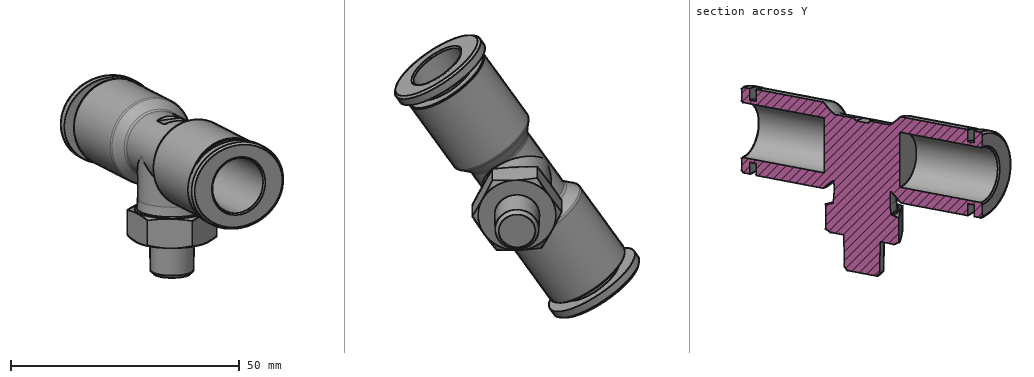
import cadquery as cq
import math

half_length = 32.2
overall_height = 37.35
core_radius = 7.55
body_radius = 9.85
body_inner_end = 10.3
core_end = 7.55
body_outer_end = 28.3
body_edge_chamfer = 0.2
shoulder_fillet = 0.8
waist_fillet = 1.1

sleeve_neck_radius = 7.15
flange_thickness = 2.3
flange_width_y = 22.5
flange_height_z = 19.55
flange_chamfer = 0.5
tube_bore_radius = 6.2
tube_bore_depth = 22.0
bore_chamfer = 0.35

branch_radius = core_radius
collar_radius = 7.75
collar_top = -10.45
collar_bottom = -12.65
collar_flare_radius = 8.15
hex_top = -12.9
hex_bottom = -19.55
hex_across_flats = 17.0
hex_top_edge_radius = 8.4
hex_top_drop = 0.4
hex_bottom_drop = 0.6
stud_bottom = body_radius - overall_height
stud_top_radius = 4.93
stud_tip_radius = 4.78
stud_chamfer = 0.8

label_floor_z = 7.0
label_half_length = 1.6
label_wall_slope = 1.0

hex_height = hex_top - hex_bottom


def flare_edges(x_distance):
    """Selector for the edges of the circles at +/- x_distance along the run."""
    tolerance = 0.01
    reach = 2 * body_radius
    left, right = [
        cq.selectors.BoxSelector(
            (x - tolerance, -reach, -reach),
            (x + tolerance, reach, reach),
        )
        for x in (-x_distance, x_distance)
    ]
    return left + right


def make_run_body():
    """Waisted cylinder with flared shoulders, revolved about X."""
    profile = [
        (-body_outer_end, 0),
        (-body_outer_end, body_radius),
        (-body_inner_end, body_radius),
        (-core_end, core_radius),
        (core_end, core_radius),
        (body_inner_end, body_radius),
        (body_outer_end, body_radius),
        (body_outer_end, 0),
    ]
    body = cq.Workplane("XY").polyline(profile).close().revolve(360, (0, 0, 0), (1, 0, 0))
    body = body.faces("<X or >X").edges().chamfer(body_edge_chamfer)
    body = body.edges(flare_edges(core_end)).fillet(waist_fillet)
    return body.edges(flare_edges(body_inner_end)).fillet(shoulder_fillet)


def make_release_sleeve():
    """Round neck and oval flange at the -X end."""
    neck = (
        cq.Workplane("YZ", origin=(-half_length, 0, 0))
        .circle(sleeve_neck_radius)
        .extrude(half_length - body_outer_end + body_edge_chamfer)
    )
    flange = (
        cq.Workplane("YZ", origin=(-half_length, 0, 0))
        .ellipse(flange_width_y / 2, flange_height_z / 2)
        .extrude(flange_thickness)
        .faces("<X")
        .edges()
        .chamfer(flange_chamfer)
    )
    return flange.union(neck)


def make_tube_bore():
    """Blind bore with a chamfered mouth, entering from the -X end."""
    profile = [
        (-half_length, 0),
        (-half_length, tube_bore_radius + bore_chamfer),
        (-half_length + bore_chamfer, tube_bore_radius),
        (-half_length + tube_bore_depth, tube_bore_radius),
        (-half_length + tube_bore_depth, 0),
    ]
    return cq.Workplane("XY").polyline(profile).close().revolve(360, (0, 0, 0), (1, 0, 0))


def make_branch():
    """Branch barrel, collar flared onto the hexagon and tapered stud, revolved about Z."""
    profile = [
        (0, 0),
        (branch_radius, 0),
        (branch_radius, collar_top),
        (collar_radius, collar_bottom),
        (collar_flare_radius, hex_top),
        (stud_top_radius, hex_top),
        (stud_top_radius, hex_bottom),
        (stud_tip_radius, stud_bottom + stud_chamfer),
        (stud_tip_radius - stud_chamfer, stud_bottom),
        (0, stud_bottom),
    ]
    return cq.Workplane("XZ").polyline(profile).close().revolve(360, (0, 0, 0), (0, 1, 0))


def make_hex():
    """Hexagon with corners on the X axis and conical chamfers on both faces."""
    corner_radius = hex_across_flats / 2 / math.cos(math.pi / 6)
    face_radius = hex_across_flats / 2
    prism = (
        cq.Workplane("XY", origin=(0, 0, hex_bottom))
        .polygon(6, 2 * corner_radius)
        .extrude(hex_height)
    )
    envelope = [
        (0, hex_bottom),
        (face_radius, hex_bottom),
        (corner_radius, hex_bottom + hex_bottom_drop),
        (corner_radius, hex_top - hex_top_drop),
        (hex_top_edge_radius, hex_top),
        (0, hex_top),
    ]
    cones = cq.Workplane("XZ").polyline(envelope).close().revolve(360, (0, 0, 0), (0, 1, 0))
    return prism.intersect(cones)


def make_label_cut():
    """Trapezoidal cutter leaving a flat with sloped ends on top of the core."""
    rise = body_radius - label_floor_z
    top_half_length = label_half_length + rise * label_wall_slope
    profile = [
        (-label_half_length, label_floor_z),
        (label_half_length, label_floor_z),
        (top_half_length, body_radius),
        (-top_half_length, body_radius),
    ]
    return cq.Workplane("XZ").polyline(profile).close().extrude(core_radius, both=True)


sleeve = make_release_sleeve()
bore = make_tube_bore()

result = make_run_body().union(make_branch()).union(make_hex())
result = result.union(sleeve).union(sleeve.mirror("YZ"))
result = result.cut(bore).cut(bore.mirror("YZ")).cut(make_label_cut())